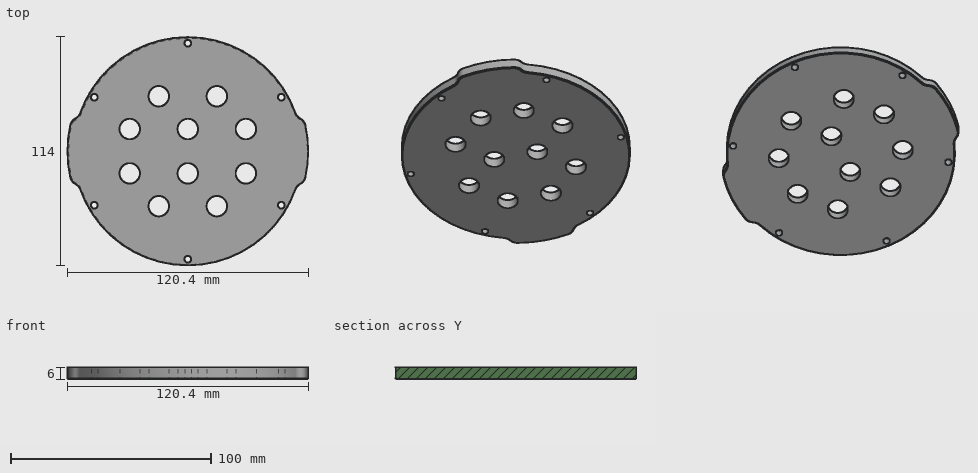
import cadquery as cq
import math

thickness = 6.0
disk_radius = 57.0
bottom_chamfer = 0.5

ear_radius = 60.2
ear_flank_angle = 32.0
flank_point_x = 56.3
flank_point_y = 16.2
ear_blend_radius = 5.0

large_hole_diameter = 10.1
column_pitch = 29.0
inner_row_y = 11.1
outer_row_y = 27.4

screw_hole_diameter = 3.2
screw_circle_radius = 53.9
screw_count = 6
first_screw_angle = 90.0


def make_ears():
    """Disk of the ear radius trimmed to a rhombus, whose sides are the flanks."""
    slope = math.tan(math.radians(ear_flank_angle))
    apex_y = flank_point_y + flank_point_x * slope
    apex_x = apex_y / slope
    rhombus = [(apex_x, 0), (0, apex_y), (-apex_x, 0), (0, -apex_y)]
    trim = cq.Workplane("XY").polyline(rhombus).close().extrude(thickness)
    return cq.Workplane("XY").circle(ear_radius).extrude(thickness).intersect(trim)


def make_plate():
    """Round plate with blended ears and a chamfered bottom rim."""
    disk = cq.Workplane("XY").circle(disk_radius).extrude(thickness)
    plate = disk.union(make_ears())
    corners = plate.edges("|Z").filter(lambda edge: abs(edge.Center().y) > inner_row_y)
    plate = plate.newObject(corners.vals()).fillet(ear_blend_radius)
    return plate.faces("<Z").chamfer(bottom_chamfer)


def drill(plate, centers, diameter):
    """Cut through holes at the given centers."""
    holes = cq.Workplane("XY").pushPoints(centers).circle(diameter / 2).extrude(thickness)
    return plate.cut(holes)


large_hole_centers = []
for side in (-1, 1):
    for column in (-1, 0, 1):
        large_hole_centers.append((column * column_pitch, side * inner_row_y))
    for column in (-0.5, 0.5):
        large_hole_centers.append((column * column_pitch, side * outer_row_y))

screw_centers = []
for index in range(screw_count):
    angle = math.radians(first_screw_angle + index * 360 / screw_count)
    screw_centers.append((screw_circle_radius * math.cos(angle), screw_circle_radius * math.sin(angle)))

result = make_plate()
result = drill(result, large_hole_centers, large_hole_diameter)
result = drill(result, screw_centers, screw_hole_diameter)